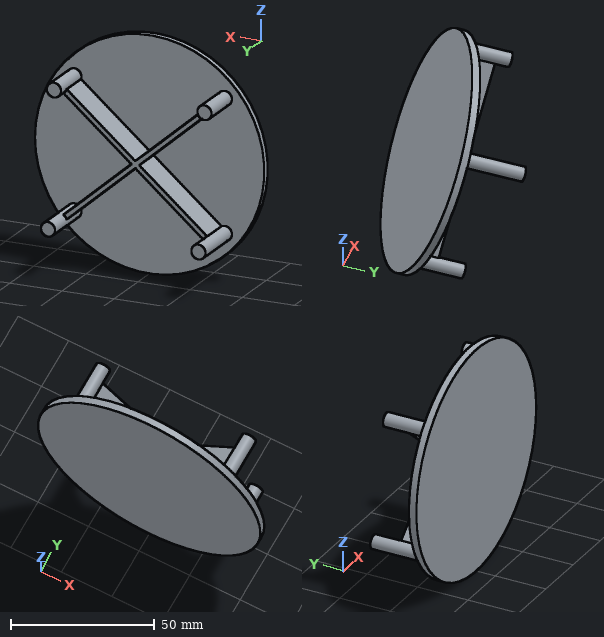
import cadquery as cq
import math

plate_diameter = 88
plate_thickness = 3.0

pin_diameter = 5.5
pin_offset_x = 28.9
pin_offset_z = 24.9
overall_depth = 25.0
lower_pin_length = overall_depth - plate_thickness
upper_pin_length = 17.0

rib_height = 12.0
rib_thickness = 2.0
rib_length = 2 * math.hypot(pin_offset_x, pin_offset_z)
rib_angle = math.degrees(math.atan2(pin_offset_z, pin_offset_x))


def back_plane():
    """Sketch plane on the back of the plate: local x = X, local y = -Z, extrusion toward +Y."""
    return cq.Workplane(cq.Plane(origin=(0, plate_thickness, 0), xDir=(1, 0, 0), normal=(0, 1, 0)))


def pin_pair(z, length):
    positions = [(-pin_offset_x, -z), (pin_offset_x, -z)]
    return back_plane().pushPoints(positions).circle(pin_diameter / 2).extrude(length)


def diagonal_rib(angle):
    rib = back_plane().rect(rib_length, rib_thickness).extrude(rib_height)
    return rib.rotate((0, 0, 0), (0, 1, 0), angle)


plate = back_plane().circle(plate_diameter / 2).extrude(-plate_thickness)
result = plate
result = result.union(pin_pair(pin_offset_z, upper_pin_length))
result = result.union(pin_pair(-pin_offset_z, lower_pin_length))
for angle in (rib_angle, -rib_angle):
    result = result.union(diagonal_rib(angle))